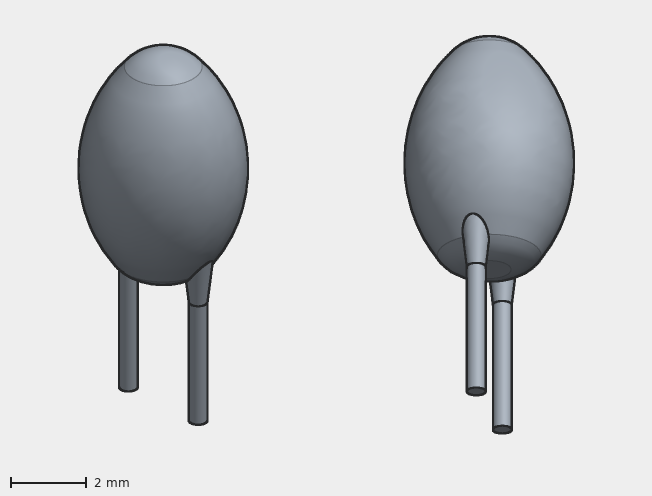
import cadquery as cq
import math

top_z = 10.69
bead_bottom_z = 4.07
bead_diameter = 4.48
bead_radius = bead_diameter / 2
belly_z = 7.15
side_arc_radius = 4.54
bottom_round_radius = 0.98

lead_diameter = 0.5
lead_radius = lead_diameter / 2
lead_offset = 1.27
collar_bottom_z = 3.6
collar_top_z = 5.35
collar_top_radius = 0.45

side_center_r = bead_radius - side_arc_radius

cap_rise = top_z - belly_z
cap_radius = (side_arc_radius**2 - side_center_r**2 - cap_rise**2) / (2 * (side_arc_radius - cap_rise))
cap_center_z = top_z - cap_radius

round_center_z = bead_bottom_z + bottom_round_radius
round_center_r = side_center_r + math.sqrt(
    (side_arc_radius - bottom_round_radius)**2 - (belly_z - round_center_z)**2
)

cap_angle = math.atan2(cap_center_z - belly_z, -side_center_r)
round_angle = math.atan2(round_center_z - belly_z, round_center_r - side_center_r)


def arc_point(center_r, center_z, radius, angle):
    """Point of the profile at an angle on an arc."""
    return center_r + radius * math.cos(angle), center_z + radius * math.sin(angle)


def make_bead():
    round_middle = (round_angle - math.pi / 2) / 2
    cap_middle = (cap_angle + math.pi / 2) / 2
    return (
        cq.Workplane("XZ")
        .moveTo(0, bead_bottom_z)
        .lineTo(round_center_r, bead_bottom_z)
        .threePointArc(
            arc_point(round_center_r, round_center_z, bottom_round_radius, round_middle),
            arc_point(side_center_r, belly_z, side_arc_radius, round_angle),
        )
        .threePointArc(
            (bead_radius, belly_z),
            arc_point(side_center_r, belly_z, side_arc_radius, cap_angle),
        )
        .threePointArc(
            arc_point(0, cap_center_z, cap_radius, cap_middle),
            (0, top_z),
        )
        .close()
        .revolve(360, (0, 0), (0, 1))
    )


def make_collar(x, bead):
    """Cone widening upward from the lead, trimmed to seat on the bead."""
    height = collar_top_z - collar_bottom_z
    cone = cq.Solid.makeCone(lead_radius, collar_top_radius, height, cq.Vector(x, 0, collar_bottom_z))
    return cq.Workplane(cone).cut(bead)


def make_lead(x):
    """Straight round wire ending at the underside of its collar."""
    return cq.Workplane("XY").center(x, 0).circle(lead_radius).extrude(collar_bottom_z)


bead = make_bead()
collars = []
leads = []
for side in (-1, 1):
    lead_x = side * lead_offset
    collars.append(make_collar(lead_x, bead).val())
    leads.append(make_lead(lead_x).val())

result = cq.Compound.makeCompound([bead.val(), *collars, *leads])